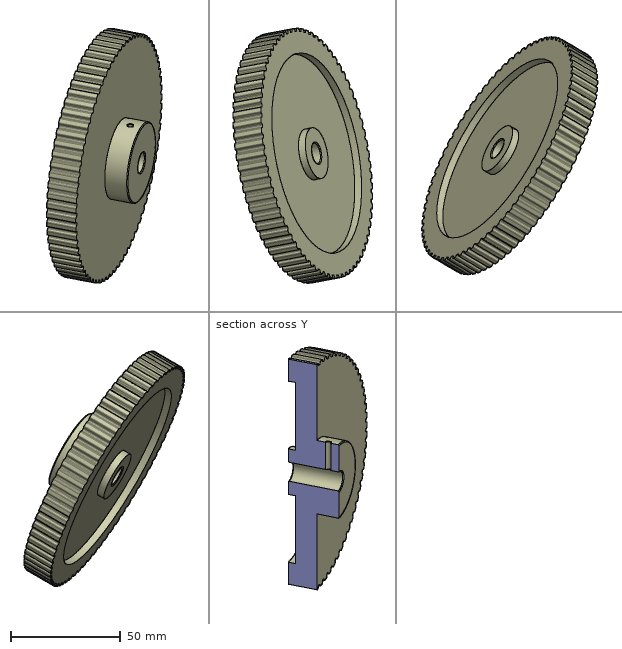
import cadquery as cq
import math

tooth_count = 72
outer_diameter = 115.9
rim_width = 14.3
groove_depth = 1.4
groove_floor_width = 1.3
groove_half_angle = 25.0
groove_root_radius = 0.4
tooth_tip_radius = 0.4

recess_diameter = 93.0
recess_depth = 3.5
boss_diameter = 23.6

overall_length = 25.4
hub_diameter = 38.0
hub_length = overall_length - rim_width
hub_chamfer = 0.5

bore_diameter = 9.5
bore_chamfer = 0.5
screw_hole_diameter = 2.4
screw_countersink_diameter = 3.0


def cylinder(diameter, length, start_x):
    """Solid cylinder along +X, beginning at start_x."""
    return cq.Workplane("YZ", origin=(start_x, 0, 0)).circle(diameter / 2).extrude(length)


def toothed_rim():
    """Disc with straight trapezoidal grooves whose roots and tooth tips are rounded."""
    outer_radius = outer_diameter / 2
    root_radius = outer_radius - groove_depth
    slope = math.tan(math.radians(groove_half_angle))
    half_floor = groove_floor_width / 2
    overshoot = groove_depth
    half_mouth = half_floor + (groove_depth + overshoot) * slope
    cutter = (
        cq.Workplane("YZ")
        .polyline([
            (-half_floor, root_radius),
            (half_floor, root_radius),
            (half_mouth, outer_radius + overshoot),
            (-half_mouth, outer_radius + overshoot),
        ])
        .close()
        .extrude(rim_width)
        .edges("|X and <Z")
        .fillet(groove_root_radius)
    )
    pitch_angle = 360.0 / tooth_count
    half_pitch = pitch_angle / 2
    grooves = [
        cutter.rotate((0, 0, 0), (1, 0, 0), half_pitch + index * pitch_angle).val()
        for index in range(tooth_count)
    ]
    blank = cylinder(outer_diameter, rim_width, 0).rotate((0, 0, 0), (1, 0, 0), half_pitch)
    rim = blank.cut(cq.Compound.makeCompound(grooves))

    def is_tooth_corner(edge):
        """True for edges nearer the outside diameter than the groove floor."""
        center = edge.Center()
        return math.hypot(center.y, center.z) > (outer_radius + root_radius) / 2

    return rim.edges("|X").filter(is_tooth_corner).fillet(tooth_tip_radius)


def web_recess():
    """Ring-shaped pocket that leaves the central boss standing flush with the rim."""
    return cylinder(recess_diameter, recess_depth, 0).cut(cylinder(boss_diameter, recess_depth, 0))


def hub():
    """Cylindrical hub with a chamfered outer end."""
    return cylinder(hub_diameter, hub_length, rim_width).faces(">X").edges().chamfer(hub_chamfer)


def bore():
    """Through bore widened by a chamfer at both ends."""
    mouth_radius = bore_diameter / 2 + bore_chamfer
    return (
        cq.Workplane("XY")
        .polyline([
            (0, 0),
            (0, mouth_radius),
            (bore_chamfer, bore_diameter / 2),
            (overall_length - bore_chamfer, bore_diameter / 2),
            (overall_length, mouth_radius),
            (overall_length, 0),
        ])
        .close()
        .revolve(360, (0, 0, 0), (1, 0, 0))
    )


def set_screw_hole():
    """Radial hole from the top of the hub into the bore, countersunk at the surface."""
    center_x = rim_width + hub_length / 2
    hub_radius = hub_diameter / 2
    countersink_depth = (screw_countersink_diameter - screw_hole_diameter) / 2
    hole = cq.Workplane("XY", origin=(center_x, 0, 0)).circle(screw_hole_diameter / 2).extrude(hub_radius)
    countersink = (
        cq.Workplane("XY", origin=(center_x, 0, hub_radius))
        .circle(screw_countersink_diameter / 2)
        .workplane(offset=-countersink_depth)
        .circle(screw_hole_diameter / 2)
        .loft()
    )
    return hole.union(countersink)


result = toothed_rim().union(hub()).cut(web_recess()).cut(bore()).cut(set_screw_hole())